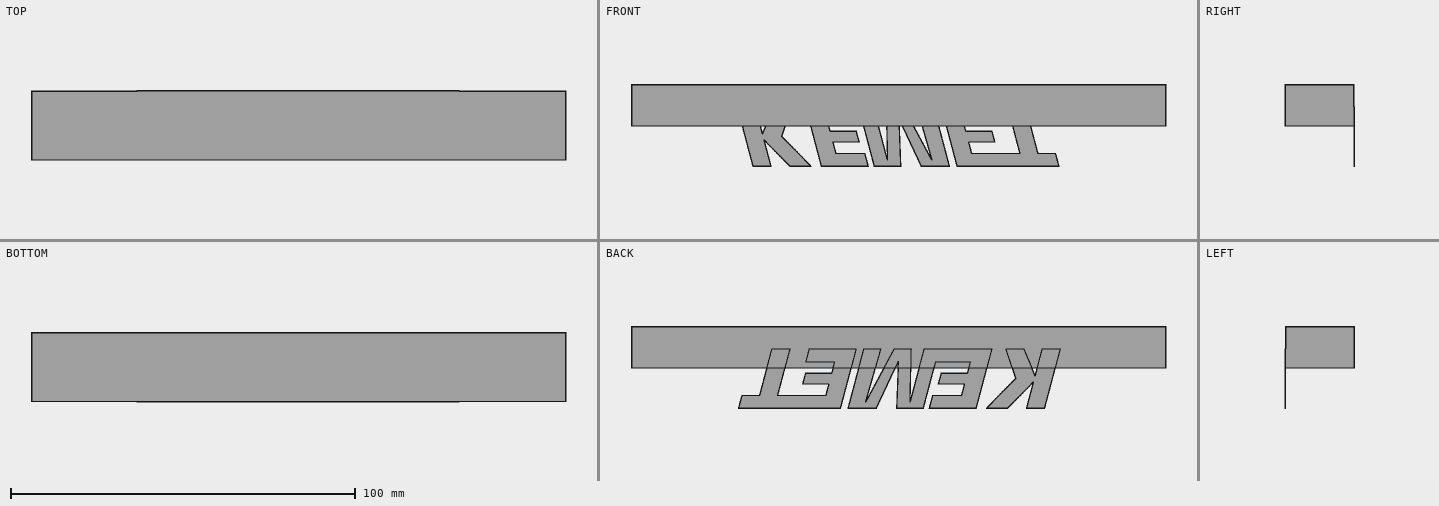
import cadquery as cq

length = 155.0
depth = 20.2
bar_height = 12.1
plate_thickness = 0.2
bar_depth = depth - plate_thickness

letter_drop = 11.6
letter_height = 17.2
slant = 0.265
stem = 5.3
stroke = 3.7
mid_bottom = 7.0
mid_top = letter_height - mid_bottom
e_mid_width = 12.9
e_width = 13.6

k_x = -42.3
first_e_x = -22.5
w_x = -7.1
second_e_x = 16.9

k_arm_joint = 9.5
k_leg_joint = 7.6
k_elbow = (10.7, 8.7)
k_arm_start = 10.5
k_arm_end = 15.8
k_leg_start = 10.7
k_leg_end = 16.9

w_width = 21.9
w_left_foot_end = 7.8
w_right_foot_start = 13.6
w_join = (10.9, 13.6)
w_notch_height = 1.9
w_left_notch = 4.3
w_left_notch_end = 8.0
w_right_notch_start = 13.0
w_right_notch_end = 16.9
w_right_notch_tip = 17.2

i_start = 19.2
foot_end = 29.6


def letter_plate(origin_x, outline):
    """Slant an upright letter outline and extrude it against the back of the bar."""
    slanted = [
        (origin_x + x - slant * z, z - letter_drop)
        for x, z in outline
    ]
    return (
        cq.Workplane("XZ", origin=(0, bar_depth, 0))
        .polyline(slanted)
        .close()
        .extrude(-plate_thickness)
    )


def e_outline(top_end, bottom_end):
    """Upright E whose top and bottom strokes have their own lengths."""
    return [
        (0, 0),
        (bottom_end, 0),
        (bottom_end, stroke),
        (stem, stroke),
        (stem, mid_bottom),
        (e_mid_width, mid_bottom),
        (e_mid_width, mid_top),
        (stem, mid_top),
        (stem, letter_height - stroke),
        (top_end, letter_height - stroke),
        (top_end, letter_height),
        (0, letter_height),
    ]


def make_bar():
    return cq.Workplane("XY").box(length, bar_depth, bar_height, centered=(True, False, False))


def make_k():
    return letter_plate(k_x, [
        (0, 0),
        (stem, 0),
        (stem, k_leg_joint),
        (k_leg_start, 0),
        (k_leg_end, 0),
        k_elbow,
        (k_arm_end, letter_height),
        (k_arm_start, letter_height),
        (stem, k_arm_joint),
        (stem, letter_height),
        (0, letter_height),
    ])


def make_ew():
    """E and W in one plate: the top stroke of the E runs into the W."""
    e = letter_plate(first_e_x, e_outline(w_x - first_e_x, e_width))
    w = letter_plate(w_x, [
        (0, 0),
        (w_left_foot_end, 0),
        w_join,
        (w_right_foot_start, 0),
        (w_width, 0),
        (w_width, letter_height),
        (w_right_notch_end, letter_height),
        (w_right_notch_tip, w_notch_height),
        (w_right_notch_start, letter_height),
        (w_left_notch_end, letter_height),
        (w_left_notch, w_notch_height),
        (w_left_notch, letter_height),
        (0, letter_height),
    ])
    return e.union(w)


def make_ei():
    """E and I in one plate: the bottom stroke of the E is also the foot of the I."""
    e = letter_plate(second_e_x, e_outline(e_width, foot_end))
    upright = letter_plate(second_e_x, [
        (i_start, 0),
        (i_start + stem, 0),
        (i_start + stem, letter_height),
        (i_start, letter_height),
    ])
    return e.union(upright)


bar = make_bar()
k_plate = make_k()
ew_plate = make_ew()
ei_plate = make_ei()

result = cq.Compound.makeCompound([
    bar.val(),
    k_plate.val(),
    *ew_plate.vals(),
    *ei_plate.vals(),
])